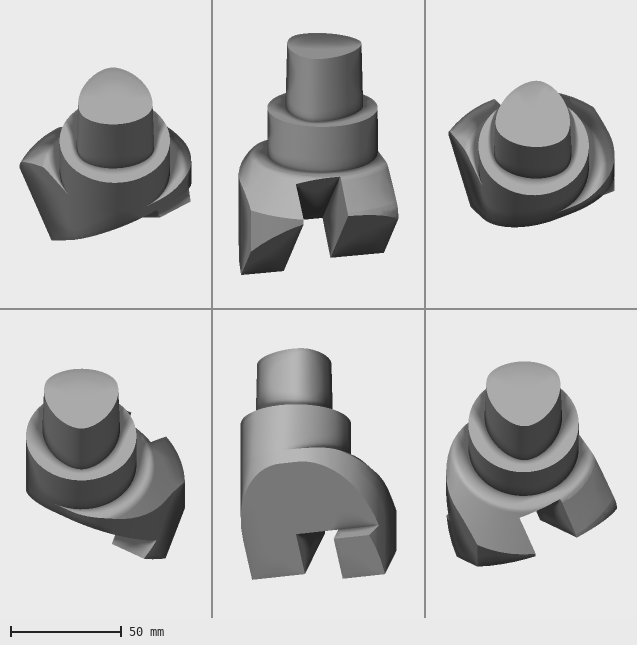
import cadquery as cq
import math


shank_length = 30.0
shank_base_width = 35.1
shank_taper = 1 / 20
lobe_height = 1.2
lobe_count = 3
lobe_direction = -math.pi / 2

collar_radius = 25.0
collar_height = 22.0

body_back = 40.0
back_corner_radius = 32.0

shoulder_radius = 32.0
rim_radius = 47.0
shoulder_fillet = 4.0
front_rim_fillet = 8.0

floor_depth = 31.4
leg_length = 20.0
back_leg_drop = 10.0
slot_width = 20.0

body_depth = floor_depth + leg_length + back_leg_drop


def shank_section(width):
    """Point function of a constant-width polygon, from its distance to the tangent line."""
    def point(t):
        angle = 2 * math.pi * t
        phase = lobe_count * (angle - lobe_direction)
        distance = width / 2 + lobe_height * math.cos(phase)
        slope = -lobe_count * lobe_height * math.sin(phase)
        return (
            distance * math.cos(angle) - slope * math.sin(angle),
            distance * math.sin(angle) + slope * math.cos(angle),
        )
    return point


def make_shank():
    top_width = shank_base_width - shank_taper * shank_length
    return (
        cq.Workplane("XY", origin=(0, 0, collar_height))
        .parametricCurve(shank_section(shank_base_width))
        .workplane(offset=shank_length)
        .parametricCurve(shank_section(top_width))
        .loft(ruled=True, combine=True)
    )


def make_collar():
    return cq.Workplane("XY").circle(collar_radius).extrude(collar_height)


def make_outline():
    """The body's outline as an upright block, left open-ended past the rim on the -X side."""
    front_arc_middle = collar_radius * math.sqrt(0.5)
    arc_centre_x = collar_radius - back_corner_radius
    arc_centre_y = body_back - back_corner_radius
    back_arc_middle = back_corner_radius * math.sqrt(0.5)
    return (
        cq.Workplane("XY")
        .moveTo(-rim_radius, -collar_radius)
        .lineTo(0, -collar_radius)
        .threePointArc((front_arc_middle, -front_arc_middle), (collar_radius, 0))
        .lineTo(collar_radius, arc_centre_y)
        .threePointArc(
            (arc_centre_x + back_arc_middle, arc_centre_y + back_arc_middle),
            (arc_centre_x, body_back),
        )
        .lineTo(-rim_radius, body_back)
        .close()
        .extrude(-body_depth)
    )


def make_rim():
    """Cylinder with a 45 degree cone on top; only the front half has its lower edge rounded."""
    cone_height = rim_radius - shoulder_radius
    plain = (
        cq.Workplane("XY", origin=(0, 0, -body_depth))
        .circle(rim_radius)
        .extrude(body_depth)
        .faces(">Z").chamfer(cone_height)
        .faces(">Z").edges().fillet(shoulder_fillet)
    )
    rounded = plain.faces("%CONE").edges("<Z").fillet(front_rim_fillet)
    front_half = (
        cq.Workplane("XY")
        .box(2 * rim_radius, rim_radius, body_depth, centered=(True, False, False))
        .translate((0, -rim_radius, -body_depth))
    )
    return plain.cut(front_half).union(rounded.intersect(front_half))


def make_tilted_prism(corners, y_start, y_end):
    """Prism along Y whose corners are (past, below) distances in a frame tilted by 45 degrees.

    `past` is measured from the slot floor towards the end face of the legs, and `below` from the
    underside of the front leg downwards. Both are zero on the axis at `floor_depth`.
    """
    diagonal = math.sqrt(0.5)
    points = [
        ((below - past) * diagonal, -floor_depth - (below + past) * diagonal)
        for past, below in corners
    ]
    return (
        cq.Workplane("XZ", origin=(0, y_start, 0))
        .polyline(points)
        .close()
        .extrude(y_start - y_end)
    )


def make_body():
    reach = 2 * body_depth
    main_block = make_tilted_prism(
        [(-reach, 0), (leg_length, 0), (leg_length, -reach), (-reach, -reach)],
        -collar_radius, body_back,
    )
    back_pad = make_tilted_prism(
        [(0, 0), (leg_length, 0), (leg_length, back_leg_drop), (0, back_leg_drop)],
        slot_width, body_back,
    )
    slot = make_tilted_prism(
        [(0, -reach), (reach, -reach), (reach, reach), (0, reach)],
        0, slot_width,
    )
    blank = make_outline().intersect(make_rim())
    return blank.intersect(main_block.union(back_pad)).cut(slot)


result = make_body().union(make_collar(), clean=False).union(make_shank(), clean=False)